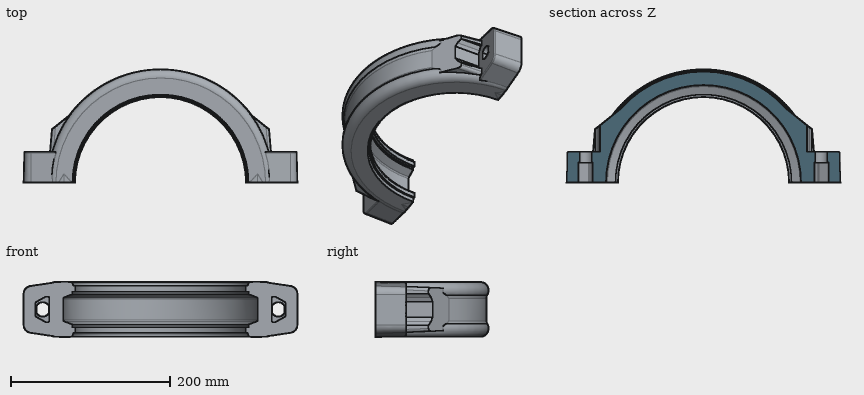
import math

import cadquery as cq


overall_width = 69.85
wedge_rise = 0.4
ring_width = overall_width - 2 * wedge_rise
half_width = ring_width / 2
outer_radius = 142.24
shoulder_round = 10.7
groove_floor_radius = 139.6
groove_floor_half_width = 14.0
groove_edge_z = 18.0
key_radius = 107.2
key_inner_z = 22.3
key_outer_z = 29.6
key_root_radius = 110.5
key_relief_radius = 108.9
key_relief_z = 33.7
key_relief_round = 6.1
seal_radius = 122.2
seal_mouth_z = 19.1
seal_floor_z = 14.5
seal_fillet = 2.0

overall_length = 343.92
lug_reach = overall_length / 2
lug_height = 38.7
lug_slope_start = 129.3
lug_slope_angle = 8.4
lug_corner_round = 10.5
lug_draft = 1.5
lug_back_round = 1.3
embed_x = 125.0
embed_radius = 126.0

bolt_x = 147.8
bolt_hole_radius = 8.9
bolt_hole_width = 14.6
pocket_depth = 25.0
pocket_outer_x = 157.0
pocket_inner_x = 139.4
pocket_outer_half = 8.8
pocket_inner_half = 16.1
pocket_flat = 4.5
pocket_round = 2.5

pad_base_y = 30.0
pad_end_y = 95.0
pad_root_x = 90.0
pad_draft = 4.8
pad_half_height = 27.5
pad_height_draft = 2.5
pad_round = 4.0
pad_slope_angle = 38.9
pad_corner_x = 136.4
pad_corner_y = 66.7
channel_floor_x = 130.0
channel_floor_half = 9.8
channel_bend_x = 132.4
channel_bend_z = 15.0
channel_edge_x = 136.0
channel_edge_z = 19.8

wedge_outer_x = 128.5
wedge_peak_x = 121.6
wedge_inner_x = 111.0
wedge_length = 11.0


def side_plane(y):
    """Sketch plane facing +Y whose first axis points away from the ring on the -X side."""
    return cq.Workplane(cq.Plane(origin=(0, y, 0), xDir=(-1, 0, 0), normal=(0, 1, 0)))


def make_ring():
    """Half ring: the upper half of its cross-section turned about the pipe axis, then mirrored."""
    shoulder_radius = outer_radius - shoulder_round
    shoulder_z = half_width - shoulder_round
    drop = shoulder_z - groove_edge_z
    groove_edge_radius = shoulder_radius + math.sqrt(shoulder_round**2 - drop**2)
    flank_angle = math.atan2(seal_mouth_z - seal_floor_z, seal_radius - key_root_radius)
    tangent = seal_fillet / math.tan(math.pi / 4 + flank_angle / 2)
    fillet_start = (
        seal_radius - tangent * math.cos(flank_angle),
        seal_floor_z + tangent * math.sin(flank_angle),
    )
    profile = (
        cq.Workplane("XZ")
        .moveTo(seal_radius, 0)
        .lineTo(groove_floor_radius, 0)
        .lineTo(groove_floor_radius, groove_floor_half_width)
        .lineTo(groove_edge_radius, groove_edge_z)
        .threePointArc(
            (
                shoulder_radius + shoulder_round * math.sqrt(0.5),
                shoulder_z + shoulder_round * math.sqrt(0.5),
            ),
            (shoulder_radius, half_width),
        )
        .lineTo(key_root_radius, half_width)
        .lineTo(key_root_radius, key_relief_z)
        .radiusArc((key_relief_radius, key_outer_z), key_relief_round)
        .lineTo(key_radius, key_outer_z)
        .lineTo(key_radius, key_inner_z)
        .lineTo(key_root_radius, key_inner_z)
        .lineTo(key_root_radius, seal_mouth_z)
        .lineTo(*fillet_start)
        .radiusArc((seal_radius, seal_floor_z - tangent), seal_fillet)
        .close()
    )
    upper_half = profile.revolve(180, (0, 0, 0), (0, 1, 0))
    return upper_half.union(upper_half.mirror("XY"))


def make_lug():
    """Drafted block that carries one bolt, with its back edges rounded."""
    fall = (lug_reach - lug_slope_start) * math.tan(math.radians(lug_slope_angle))
    corner_z = half_width - fall
    outline = [
        (embed_x, -half_width),
        (lug_slope_start, -half_width),
        (lug_reach, -corner_z),
        (lug_reach, corner_z),
        (lug_slope_start, half_width),
        (embed_x, half_width),
    ]
    sketch = cq.Sketch().polygon(outline + outline[:1]).vertices(">X").fillet(lug_corner_round)
    lug = side_plane(0).placeSketch(sketch).extrude(lug_height, taper=lug_draft)
    return lug.faces(">Y").edges().fillet(lug_back_round)


def make_pad():
    """Drafted pad behind the lug, cut off by a sloping end that meets the ring."""

    def section(y):
        side_x = pad_corner_x + (pad_corner_y - y) * math.tan(math.radians(pad_draft))
        half_height = pad_half_height + (pad_corner_y - y) * math.tan(math.radians(pad_height_draft))
        return (
            cq.Sketch()
            .push([((side_x + pad_root_x) / 2, 0)])
            .rect(side_x - pad_root_x, 2 * half_height)
            .reset()
            .vertices(">X")
            .fillet(pad_round)
        )

    far_end = section(pad_end_y).moved(cq.Location(cq.Vector(0, 0, pad_end_y - pad_base_y)))
    pad = side_plane(pad_base_y).placeSketch(section(pad_base_y), far_end).loft(ruled=True)
    run = pad_corner_x - pad_root_x
    rise = run * math.tan(math.radians(pad_slope_angle))
    below_slope = (
        cq.Workplane("XY", origin=(0, 0, -half_width))
        .polyline(
            [
                (-pad_root_x, pad_base_y),
                (-pad_root_x, pad_corner_y + rise),
                (-pad_corner_x, pad_corner_y),
                (-lug_reach, pad_corner_y - (lug_reach - pad_corner_x) * rise / run),
                (-lug_reach, pad_base_y),
            ]
        )
        .close()
        .extrude(ring_width)
    )
    ring_bore = cq.Workplane("XY", origin=(0, 0, -half_width)).circle(embed_radius).extrude(ring_width)
    return pad.intersect(below_slope).cut(ring_bore)


def make_channel():
    """Clearance for the bolt head along the side of the pad, cut into the ring behind the lug."""
    upper = [
        (channel_floor_x, channel_floor_half),
        (channel_bend_x, channel_bend_z),
        (channel_edge_x, channel_edge_z),
        (lug_reach, channel_edge_z),
    ]
    lower = [(x, -z) for x, z in reversed(upper)]
    outline = upper + lower
    return side_plane(lug_height).polyline(outline).close().extrude(pad_end_y - lug_height)


def make_bolt_opening():
    """Trapezoidal pocket from the parting face, then a flat-sided bolt hole to the back."""
    outline = [
        (pocket_outer_x, -pocket_outer_half),
        (pocket_outer_x, pocket_outer_half),
        (pocket_inner_x + pocket_flat, pocket_inner_half),
        (pocket_inner_x, pocket_inner_half),
        (pocket_inner_x, -pocket_inner_half),
        (pocket_inner_x + pocket_flat, -pocket_inner_half),
    ]
    sketch = cq.Sketch().polygon(outline + outline[:1]).vertices().fillet(pocket_round)
    pocket = side_plane(0).placeSketch(sketch).extrude(pocket_depth)
    hole = side_plane(0).center(bolt_x, 0).circle(bolt_hole_radius).extrude(lug_height)
    flats = side_plane(0).center(bolt_x, 0).rect(bolt_hole_width, ring_width).extrude(lug_height)
    return pocket.union(hole.intersect(flats))


def make_wedge():
    """Slight wedge on the upper face that fades out away from the parting face."""
    end_profile = [
        (wedge_outer_x, half_width),
        (wedge_peak_x, half_width + wedge_rise),
        (wedge_inner_x, half_width),
    ]
    end_corners = [cq.Vector(-x, 0, z) for x, z in end_profile]
    apex = cq.Vector(-wedge_peak_x, wedge_length, half_width)
    triangles = [end_corners] + [[end_corners[i - 1], end_corners[i], apex] for i in range(3)]
    faces = [cq.Face.makeFromWires(cq.Wire.makePolygon(points, close=True)) for points in triangles]
    return cq.Workplane(cq.Solid.makeSolid(cq.Shell.makeShell(faces)))


wedge = make_wedge()
side = make_lug().union(make_pad()).union(wedge).union(wedge.mirror("XY"))
cuts = make_channel().union(make_bolt_opening())
result = make_ring().union(side).union(side.mirror("YZ")).cut(cuts).cut(cuts.mirror("YZ"))